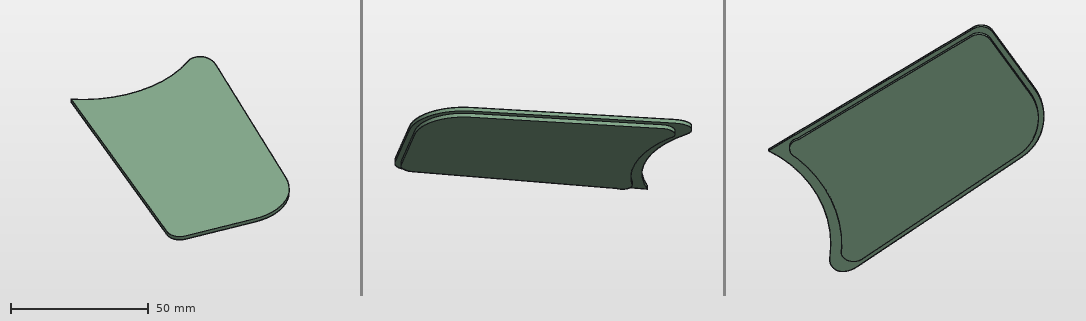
import cadquery as cq
import math

LENGTH = 100.7
WIDTH = 56.7
THICKNESS = 3.0
COVER_THICKNESS = 1.5
LIP_THICKNESS = THICKNESS - COVER_THICKNESS

EDGE_START_X = 7.8
EDGE_SLOPE = math.radians(3.0)

LARGE_CORNER_RADIUS = 20.1
SMALL_CORNER_RADIUS = 5.0

SCOOP_RADIUS = 42.8
SCOOP_DEPTH = 11.6
SCOOP_CENTER_X = SCOOP_DEPTH - SCOOP_RADIUS
SCOOP_CENTER_Y = 20.3

TIP_START_Y = 47.9
TIP_LEFT_Y = 51.3
TIP_SHOULDER = (2.7, 55.8)

LIP_INSET = 2.0
LIP_BOTTOM_INSET = 1.6
LIP_SCOOP_INSET = 4.0
LIP_EDGE_START_X = 11.1
LIP_TIP_START_Y = 46.7
LIP_TIP_LEFT = (5.8, 49.5)
LIP_TIP_SHOULDER = (7.8, 53.4)
LIP_HEEL_START_Y = 7.8
LIP_HEEL_LEFT = (13.4, 6.4)
LIP_HEEL_END_X = 18.1


def edge_y(x, inset):
    """Height of the long upper edge at x, moved inwards by inset."""
    return WIDTH - (x - EDGE_START_X) * math.tan(EDGE_SLOPE) - inset / math.cos(EDGE_SLOPE)


def scoop_point(y, inset):
    """Point at height y on the scoop, moved into the plate by inset."""
    radius = SCOOP_RADIUS + inset
    return (SCOOP_CENTER_X + math.sqrt(radius**2 - (y - SCOOP_CENTER_Y) ** 2), y)


def far_end(start, edge_start_x, bottom, inset):
    """Bottom edge, both +X corners and the long upper edge, drawn from start."""
    right = LENGTH - inset
    small_radius = SMALL_CORNER_RADIUS
    large_radius = LARGE_CORNER_RADIUS - inset
    corner_x = right - large_radius
    arc_end_x = corner_x + large_radius * math.sin(EDGE_SLOPE)
    arc_end_y = edge_y(arc_end_x, inset)
    corner_y = arc_end_y - large_radius * math.cos(EDGE_SLOPE)
    return (
        start.lineTo(right - small_radius, bottom)
        .tangentArcPoint((right, bottom + small_radius), relative=False)
        .lineTo(right, corner_y)
        .tangentArcPoint((arc_end_x, arc_end_y), relative=False)
        .lineTo(edge_start_x, edge_y(edge_start_x, inset))
    )


def close_tip(outline, shoulder, left, scoop_start):
    """Round the tip, then blend tangentially into the top of the scoop."""
    edge_direction = (-math.cos(EDGE_SLOPE), math.sin(EDGE_SLOPE))
    scoop_angle = math.asin((scoop_start[1] - SCOOP_CENTER_Y) / math.dist(
        scoop_start, (SCOOP_CENTER_X, SCOOP_CENTER_Y)))
    scoop_direction = (math.sin(scoop_angle), -math.cos(scoop_angle))
    return outline.spline(
        [shoulder, left], tangents=[edge_direction, (0, -1)], includeCurrent=True
    ).spline([scoop_start], tangents=[(0, -1), scoop_direction], includeCurrent=True)


def make_cover():
    bottom_point = scoop_point(0, 0)
    scoop_start = scoop_point(TIP_START_Y, 0)
    outline = cq.Workplane("XY").workplane(offset=LIP_THICKNESS).moveTo(*bottom_point)
    outline = far_end(outline, EDGE_START_X, 0, 0)
    outline = close_tip(outline, TIP_SHOULDER, (0, TIP_LEFT_Y), scoop_start)
    outline = outline.threePointArc(scoop_point(SCOOP_CENTER_Y, 0), bottom_point)
    return outline.close().extrude(COVER_THICKNESS)


def make_lip():
    heel_start = scoop_point(LIP_HEEL_START_Y, LIP_SCOOP_INSET)
    heel_end = (LIP_HEEL_END_X, LIP_BOTTOM_INSET)
    scoop_start = scoop_point(LIP_TIP_START_Y, LIP_SCOOP_INSET)
    outline = cq.Workplane("XY").moveTo(*heel_end)
    outline = far_end(outline, LIP_EDGE_START_X, LIP_BOTTOM_INSET, LIP_INSET)
    outline = close_tip(outline, LIP_TIP_SHOULDER, LIP_TIP_LEFT, scoop_start)
    outline = (
        outline.threePointArc(scoop_point(SCOOP_CENTER_Y, LIP_SCOOP_INSET), heel_start)
        .tangentArcPoint(LIP_HEEL_LEFT, relative=False)
        .tangentArcPoint(heel_end, relative=False)
    )
    return outline.close().extrude(LIP_THICKNESS)


result = make_cover().union(make_lip())